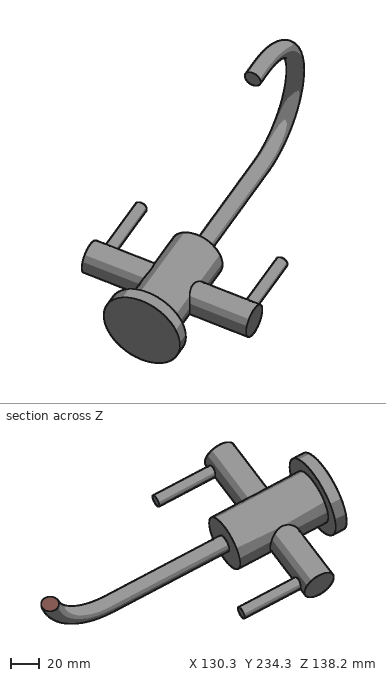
import cadquery as cq

total_length = 234.3
flange_diameter = 60.5
flange_thickness = 9.1
body_diameter = 40.8
body_end = 82.0

crossbar_length = 130.3
crossbar_diameter = 24.4
crossbar_position = 45.0

handle_diameter = 9.1
handle_offset = 55.8
handle_end = 103.5

spout_diameter = 12.7
spout_bend_radius = 50.8
spout_tip_length = 12.5
spout_bend_start = total_length - spout_bend_radius - spout_diameter / 2


def cylinder_along_y(diameter, start, end, x=0):
    """Solid cylinder parallel to Y between two Y positions."""
    return cq.Workplane(cq.Solid.makeCylinder(
        diameter / 2, end - start, cq.Vector(x, start, 0), cq.Vector(0, 1, 0)))


def make_crossbar():
    """Horizontal bar through the body that carries both handles."""
    return (
        cq.Workplane("YZ")
        .center(crossbar_position, 0)
        .circle(crossbar_diameter / 2)
        .extrude(crossbar_length / 2, both=True)
    )


def make_spout():
    """Round hook: straight stem, half-circle bend and short return tip."""
    spout_rise = 2 * spout_bend_radius
    path = (
        cq.Workplane("YZ")
        .moveTo(crossbar_position, 0)
        .lineTo(spout_bend_start, 0)
        .threePointArc(
            (spout_bend_start + spout_bend_radius, spout_bend_radius),
            (spout_bend_start, spout_rise),
        )
        .lineTo(spout_bend_start - spout_tip_length, spout_rise)
    )
    profile = cq.Workplane("XZ", origin=(0, crossbar_position, 0)).circle(spout_diameter / 2)
    return profile.sweep(path)


flange = cylinder_along_y(flange_diameter, 0, flange_thickness)
body = cylinder_along_y(body_diameter, 0, body_end)
result = flange.union(body).union(make_crossbar()).union(make_spout())

for side in (-1, 1):
    handle = cylinder_along_y(handle_diameter, crossbar_position, handle_end, side * handle_offset)
    result = result.union(handle)